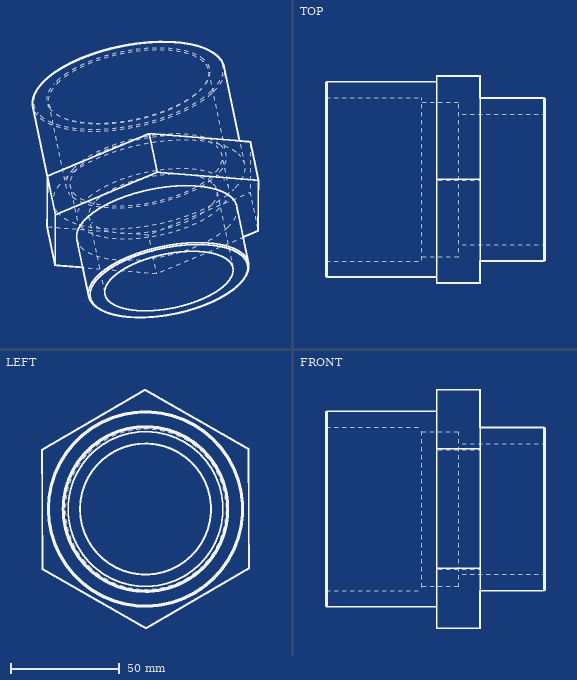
import cadquery as cq

socket_length = 51.0
hex_length = 20.0
spigot_length = 30.1
hex_corner_diameter = 109.7
hex_turn = -0.23

socket_radius = 90.0 / 2
spigot_radius = 75.1 / 2
socket_bore_radius = 75.0 / 2
step_radius = 71.2 / 2
through_bore_radius = 60.1 / 2
edge_chamfer = 0.7

socket_depth = 44.0
hex_end = socket_length + hex_length
total_length = hex_end + spigot_length
shoulder_position = socket_length + hex_length / 2


def cylinder(radius, start, length):
    """Solid cylinder along X, beginning at x = start."""
    return cq.Workplane("YZ", origin=(start, 0, 0)).circle(radius).extrude(length)


def make_collar():
    """Hexagonal collar with one corner pointing up."""
    prism = (
        cq.Workplane("YZ", origin=(socket_length, 0, 0))
        .polygon(6, hex_corner_diameter)
        .extrude(hex_length)
    )
    return prism.rotate((0, 0, 0), (1, 0, 0), 90 + hex_turn)


def make_bore():
    """Chamfered socket, two flat shoulders and the through bore."""
    profile = [
        (0, 0),
        (0, socket_bore_radius + edge_chamfer),
        (edge_chamfer, socket_bore_radius),
        (socket_depth, socket_bore_radius),
        (socket_depth, step_radius),
        (shoulder_position, step_radius),
        (shoulder_position, through_bore_radius),
        (total_length, through_bore_radius),
        (total_length, 0),
    ]
    return cq.Workplane("XY").polyline(profile).close().revolve(360, (0, 0, 0), (1, 0, 0))


socket = cylinder(socket_radius, 0, socket_length).faces("<X").chamfer(edge_chamfer)
spigot = cylinder(spigot_radius, hex_end, spigot_length).faces(">X").chamfer(edge_chamfer)

result = socket.union(make_collar()).union(spigot).cut(make_bore())